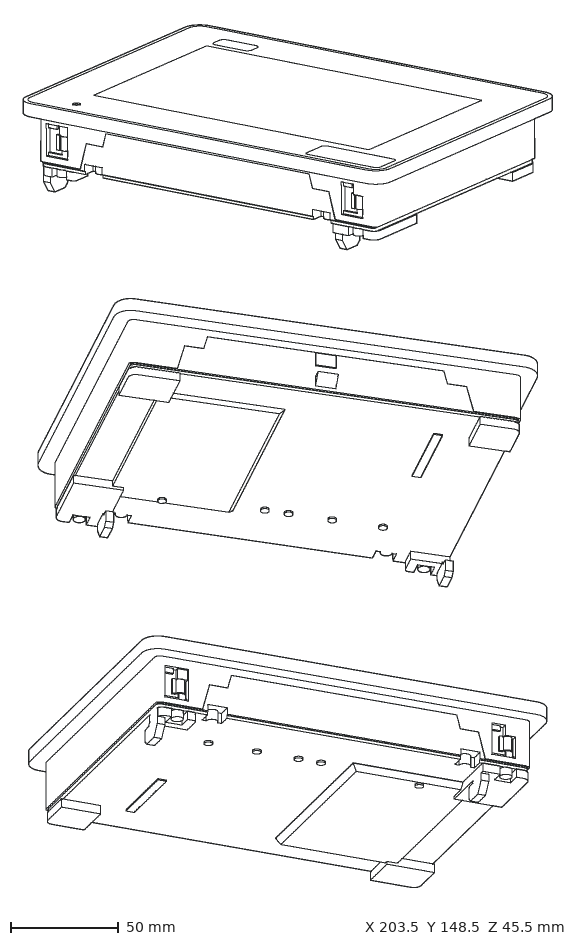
import cadquery as cq


bezel_width = 203.5
bezel_depth = 148.5
bezel_thickness = 6.5
bezel_corner_radius = 8.1

sheet_inset = 2.2
sheet_thickness = 0.6
sheet_width = bezel_width - 2 * sheet_inset
sheet_depth = bezel_depth - 2 * sheet_inset
sheet_corner_radius = bezel_corner_radius - sheet_inset
screen_width = 153.9
screen_depth = 94.0
screen_corner_radius = 0.6
logo_width = 21.2
logo_depth = 9.5
logo_corner_radius = 2.6
logo_y = 55.4
label_width = 41.0
label_depth = 16.0
label_corner_radius = 2.0
label_x = 76.1
label_y = -60.9
lamp_radius = 1.8
lamp_x = -75.7
lamp_y = -62.9

case_width = 188.9
case_depth = 133.5
case_corner_radius = 2.8
wall_bottom_width = 188.3
wall_bottom_depth = 132.7
wall_bottom_corner_radius = 1.5
wall_bottom_z = -30.0
base_width = 186.5
base_depth = 132.3
base_corner_radius = 2.0
base_lip = 0.8
base_lip_chamfer = 0.5
base_bottom_z = -32.2
front_y = -case_depth / 2

panel_top_z = -10.2
panel_shoulder_z = -16.9
panel_half_widths = {"top": 56.8, "notch": 58.6, "shoulder": 67.8, "bottom": 71.2}
panel_thickness = 4.0

foot_bottom_z = -36.5
foot_front_y = -66.5
foot_back_y = 66.8
foot_corner_radius = 3.7
left_foot_x = (-base_width / 2, -74.3)
right_foot_x = (70.0, 94.0)
back_left_foot_x = (-right_foot_x[1], left_foot_x[1])
left_foot_end_radius = 1.6
left_front_foot_end_y = -55.5
right_front_foot_end_y = -32.5
back_foot_end_y = 47.0

post_radius = 2.8
foot_post_x = 82.8
foot_notch_width = 8.1
foot_post_bottom_z = -35.8
wall_post_x = 63.7
wall_notch_width = 9.8
wall_post_setback = 4.0
wall_notch_top_z = -27.0
notch_depth = 7.0

hook_thickness = 3.9
hook_left_edges = (left_foot_x[0], right_foot_x[0])
hook_outline = [
    (-64.5, base_bottom_z),
    (-64.5, -40.0),
    (-60.7, -45.5),
    (-52.1, -45.5),
    (-49.9, -43.5),
    (-49.9, -37.9),
    (-54.1, -37.5),
    (-55.5, -35.6),
    (-55.5, base_bottom_z),
]

pocket_left_edges = (-90.2, 74.7)
pocket_width = 11.8
pocket_top_z = -11.0
pocket_bottom_z = -26.9
pocket_depth = 3.0
pocket_neck_width = 6.7
pocket_shoulder_z = -16.0
pocket_lip_height = 2.5
pocket_lip_width = 4.9
pocket_lip_depth = 1.8
pocket_ledge_height = 1.5
latch_tongue_offset = 4.5
latch_tongue_width = 1.8
latch_tongue_bottom_z = -23.5
latch_post_radius = 2.2
latch_post_offset = 8.8
latch_post_bottom_z = -23.0
latch_stop_offset = 7.7
latch_stop_width = 3.3
latch_stop_height = 2.8
shallow_window_depth = 1.2

plate_left_x = 14.7
plate_right_x = 75.3
plate_front_y = -43.2
plate_back_y = 48.8
plate_height = 2.8
plate_bevel = 2.6
screw_radius = 2.0
screw_height = 0.8
screw_y = -38.0
base_screw_x = (-56.2, -31.8, -10.8, 0.6)
plate_screw_x = 50.0
rib_x = (-61.7, -57.5)
rib_y = (8.8, 46.8)
rib_height = 0.6

catch_width = 9.8
catch_top_z = -23.5
catch_tip_y = 71.5
catch_bottom_z = -28.5
bump_height = 0.8
bump_top_z = -11.0
bump_bottom_z = -17.5


def box(x_range, y_range, z_range):
    """Box spanning the given ranges along X, Y and Z."""
    x_min, x_max = sorted(x_range)
    y_min, y_max = sorted(y_range)
    z_min, z_max = sorted(z_range)
    size = (x_max - x_min, y_max - y_min, z_max - z_min)
    return cq.Workplane("XY").box(*size, centered=False).translate((x_min, y_min, z_min))


def rounded_slab(width, depth, radius, top_z, thickness, center=(0, 0)):
    """Slab with rounded vertical corners, hanging down from top_z."""
    slab = cq.Workplane("XY").box(width, depth, thickness).edges("|Z").fillet(radius)
    return slab.translate((center[0], center[1], top_z - thickness / 2))


def rounded_outline(width, depth, radius):
    """Rounded rectangle for a wall section."""
    return cq.Sketch().rect(width, depth).vertices().fillet(radius)


def upright_post(x, y, radius, bottom_z, top_z):
    """Round post along Z."""
    return cq.Workplane("XY", origin=(x, y, bottom_z)).circle(radius).extrude(top_z - bottom_z)


def front_fields():
    """Display, logo field and label field, filling the openings of the front sheet."""
    logo_x = (logo_width - screen_width) / 2
    screen = rounded_slab(screen_width, screen_depth, screen_corner_radius, 0, sheet_thickness)
    logo = rounded_slab(logo_width, logo_depth, logo_corner_radius, 0, sheet_thickness, (logo_x, logo_y))
    label = rounded_slab(
        label_width, label_depth, label_corner_radius, 0, sheet_thickness, (label_x, label_y)
    )
    return [screen, logo, label]


def make_front_sheet():
    """Thin sheet inlaid in the bezel, with field openings and a lamp hole."""
    sheet = rounded_slab(sheet_width, sheet_depth, sheet_corner_radius, 0, sheet_thickness)
    for field in front_fields():
        sheet = sheet.cut(field)
    return sheet.cut(upright_post(lamp_x, lamp_y, lamp_radius, -sheet_thickness, 0))


def make_shell():
    """Bezel with the sheet recess, tapered walls, and stepped base."""
    bezel = rounded_slab(bezel_width, bezel_depth, bezel_corner_radius, 0, bezel_thickness)
    recess = rounded_slab(sheet_width, sheet_depth, sheet_corner_radius, 0, sheet_thickness)
    shell = bezel.cut(recess)
    for field in front_fields():
        shell = shell.union(field)
    wall_drop = cq.Location(cq.Vector(0, 0, wall_bottom_z + bezel_thickness))
    wall_top = rounded_outline(case_width, case_depth, case_corner_radius)
    wall_bottom = rounded_outline(wall_bottom_width, wall_bottom_depth, wall_bottom_corner_radius)
    walls = (
        cq.Workplane("XY", origin=(0, 0, -bezel_thickness))
        .placeSketch(wall_top, wall_bottom.moved(wall_drop))
        .loft()
    )
    base_height = wall_bottom_z - base_bottom_z
    base = rounded_slab(base_width, base_depth, base_corner_radius, wall_bottom_z, base_height)
    lip = rounded_slab(base_width, case_depth, base_corner_radius, wall_bottom_z, base_lip)
    lip = lip.faces("<Z").chamfer(base_lip_chamfer)
    return shell.union(walls).union(base).union(lip)


def raised_panel():
    """Stepped upright panel on the front wall."""
    half = panel_half_widths
    right_edge = [
        (half["top"], panel_top_z),
        (half["notch"], panel_shoulder_z),
        (half["shoulder"], panel_shoulder_z),
        (half["bottom"], wall_bottom_z),
    ]
    left_edge = [(-x, z) for x, z in reversed(right_edge)]
    return (
        cq.Workplane("XZ", origin=(0, front_y, 0))
        .polyline(right_edge + left_edge)
        .close()
        .extrude(-panel_thickness)
    )


def foot(x_range, y_range, rounded_corner):
    """Foot under the base, rounded at the one corner that lies at the case corner."""
    block = box(x_range, y_range, (foot_bottom_z, base_bottom_z))
    return block.edges("|Z").edges(rounded_corner).fillet(foot_corner_radius)


def add_feet(case):
    """Four feet, the front two with a post standing in a notch."""
    front_left = foot(left_foot_x, (foot_front_y, left_front_foot_end_y), "<X and <Y")
    front_left = front_left.edges("|Z").edges(">X and <Y").fillet(left_foot_end_radius)
    front_right = foot(right_foot_x, (foot_front_y, right_front_foot_end_y), ">X and <Y")
    for front_foot, side in ((front_left, -1), (front_right, 1)):
        case = case.union(front_foot)
        case = add_notched_post(
            case, side * foot_post_x, foot_notch_width, foot_front_y, 0,
            (foot_bottom_z, base_bottom_z), foot_post_bottom_z,
        )
    back_y = (back_foot_end_y, foot_back_y)
    case = case.union(foot(back_left_foot_x, back_y, "<X and >Y"))
    return case.union(foot(right_foot_x, back_y, ">X and >Y"))


def add_notched_post(case, x, notch_width, face_y, post_setback, notch_z, post_bottom_z):
    """Cut a notch into a front face and stand a post in it, set back from that face."""
    notch_x = (x - notch_width / 2, x + notch_width / 2)
    case = case.cut(box(notch_x, (face_y, face_y + notch_depth), notch_z))
    post = upright_post(x, face_y + post_setback + post_radius, post_radius, post_bottom_z, max(notch_z))
    return case.union(post)


def add_wall_posts(case):
    """Notched posts along the bottom edge of the front wall."""
    for side in (-1, 1):
        case = add_notched_post(
            case, side * wall_post_x, wall_notch_width, front_y, wall_post_setback,
            (base_bottom_z, wall_notch_top_z), base_bottom_z,
        )
    return case


def mounting_hook(left_x):
    """Hooked mounting arm below a front foot."""
    return cq.Workplane("YZ", origin=(left_x, 0, 0)).polyline(hook_outline).close().extrude(hook_thickness)


def add_latch_pocket(case, left_x):
    """L-shaped pocket with an inner lip, ledge, tongue, post and stop."""
    right_x = left_x + pocket_width
    floor_y = front_y + pocket_depth
    mid_y = front_y + pocket_lip_depth
    pocket_y = (front_y, floor_y)
    neck_x = (left_x, left_x + pocket_neck_width)
    case = case.cut(box(neck_x, pocket_y, (pocket_bottom_z, pocket_top_z)))
    case = case.cut(box((left_x, right_x), pocket_y, (pocket_bottom_z, pocket_shoulder_z)))

    lip_x = (left_x, left_x + pocket_lip_width)
    lip = box(lip_x, (mid_y, floor_y), (pocket_top_z - pocket_lip_height, pocket_top_z))
    ledge = box((left_x, right_x), (mid_y, floor_y), (pocket_bottom_z, pocket_bottom_z + pocket_ledge_height))
    tongue_x = (left_x + latch_tongue_offset, left_x + latch_tongue_offset + latch_tongue_width)
    tongue = box(tongue_x, (mid_y, floor_y), (latch_tongue_bottom_z, pocket_shoulder_z))
    post = upright_post(
        left_x + latch_post_offset, floor_y, latch_post_radius, latch_post_bottom_z, pocket_shoulder_z
    )
    stop_x = (left_x + latch_stop_offset, left_x + latch_stop_offset + latch_stop_width)
    stop = box(stop_x, (mid_y, floor_y), (latch_post_bottom_z - latch_stop_height, latch_post_bottom_z))
    return case.union(lip).union(ledge).union(tongue).union(post).union(stop)


def shallow_window():
    """Shallow recess that squares off the neck of the left latch pocket."""
    left_x = pocket_left_edges[0]
    window_x = (left_x + pocket_neck_width, left_x + pocket_width)
    return box(window_x, (front_y, front_y + shallow_window_depth), (pocket_shoulder_z, pocket_top_z))


def underside_details():
    """Bevelled plate, screw heads and a low rib on the underside."""
    plate_bottom_z = base_bottom_z - plate_height
    plate = box((plate_left_x, plate_right_x), (plate_front_y, plate_back_y), (plate_bottom_z, base_bottom_z))
    plate = plate.faces("<Z").edges("<X or <Y").chamfer(plate_bevel)
    rib = box(rib_x, rib_y, (base_bottom_z - rib_height, base_bottom_z))
    screws = [
        upright_post(x, screw_y, screw_radius, base_bottom_z - screw_height, base_bottom_z)
        for x in base_screw_x
    ]
    screws.append(
        upright_post(plate_screw_x, screw_y, screw_radius, plate_bottom_z - screw_height, base_bottom_z)
    )
    return [plate, rib, *screws]


def back_catch():
    """Wedge-shaped catch on the back wall."""
    base_y = case_depth / 2 - panel_thickness
    outline = [
        (base_y, catch_top_z),
        (catch_tip_y, catch_top_z),
        (case_depth / 2, catch_bottom_z),
        (base_y, catch_bottom_z),
    ]
    return cq.Workplane("YZ").polyline(outline).close().extrude(catch_width / 2, both=True)


def back_bump():
    """Low bump on the back panel above the catch."""
    bump_x = (-catch_width / 2, catch_width / 2)
    return box(bump_x, (0, case_depth / 2 + bump_height), (bump_bottom_z, bump_top_z))


def make_case():
    """Complete case: shell, panels, pockets, posts, feet, hooks and small details."""
    case = make_shell()
    case = case.union(raised_panel()).union(raised_panel().mirror("XZ"))
    for left_x in pocket_left_edges:
        case = add_latch_pocket(case, left_x)
    case = case.cut(shallow_window())
    case = add_wall_posts(case)
    case = add_feet(case)
    for left_x in hook_left_edges:
        case = case.union(mounting_hook(left_x))
    for detail in underside_details():
        case = case.union(detail)
    return case.union(back_catch()).union(back_bump())


case = make_case()
front_sheet = make_front_sheet()
result = cq.Compound.makeCompound([case.val(), front_sheet.val()])